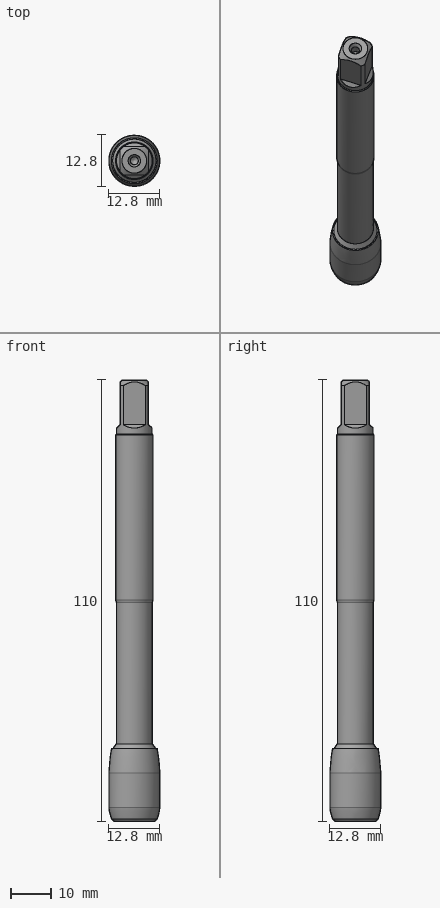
import cadquery as cq
import math

total_length = 110.0

head_radius = 12.8 / 2
head_top_z = 18.2
head_top_radius = 5.7
barrel_top_z = 12.1
barrel_bottom_z = 3.5
nose_z = 0.7
nose_radius = 5.7
nose_chamfer = 0.7
upper_bulge = 0.1
lower_bulge = 0.1

foot_radius = 5.4
neck_radius = 9.0 / 2
foot_top_z = 19.4
grip_radius = 9.4 / 2
grip_bottom_z = 55.2
grip_top_z = 96.2
neck_chamfer_height = 0.7
end_chamfer_height = 0.3
end_radius = 8.9 / 2

square_width = 7.0
square_bottom_z = 98.9
runout_slope = 0.9
tip_radius = 3.1

center_hole_radius = 2.0 / 2
center_hole_depth = 3.3
countersink_radius = 1.5
countersink_angle = 60
drill_point_angle = 118
countersink_depth = (countersink_radius - center_hole_radius) / math.tan(math.radians(countersink_angle / 2))
drill_point_height = center_hole_radius / math.tan(math.radians(drill_point_angle / 2))


def middle_of_bulge(start, end, bulge):
    """Midpoint of a line between two profile points, moved outward by the bulge."""
    return ((start[0] + end[0]) / 2 + bulge, (start[1] + end[1]) / 2)


def make_head():
    """Solid of revolution with gently bowed tapers above and below the barrel."""
    nose = (nose_radius, nose_z)
    barrel_bottom = (head_radius, barrel_bottom_z)
    barrel_top = (head_radius, barrel_top_z)
    top_rim = (head_top_radius, head_top_z)
    return (
        cq.Workplane("XZ")
        .moveTo(0, 0)
        .lineTo(nose_radius - nose_chamfer, 0)
        .lineTo(*nose)
        .threePointArc(middle_of_bulge(nose, barrel_bottom, lower_bulge), barrel_bottom)
        .lineTo(*barrel_top)
        .threePointArc(middle_of_bulge(barrel_top, top_rim, upper_bulge), top_rim)
        .lineTo(0, head_top_z)
        .close()
        .revolve(360, (0, 0, 0), (0, 1, 0))
    )


def make_shaft_blank():
    """Round shaft, with a 45 degree cone at its tip, before the square is cut."""
    tip_cone_height = end_radius - tip_radius
    profile = [
        (0, head_top_z),
        (foot_radius, head_top_z),
        (neck_radius, foot_top_z),
        (neck_radius, grip_bottom_z - neck_chamfer_height),
        (grip_radius, grip_bottom_z),
        (grip_radius, grip_top_z),
        (end_radius, grip_top_z + end_chamfer_height),
        (end_radius, total_length - tip_cone_height),
        (tip_radius, total_length),
        (0, total_length),
    ]
    return cq.Workplane("XZ").polyline(profile).close().revolve(360, (0, 0, 0), (0, 1, 0))


def make_flat_cutter():
    """Cutter for one drive flat on the +X side, with a sloping run-out below."""
    flat_x = square_width / 2
    outer_x = 2 * end_radius
    profile = [
        (flat_x, square_bottom_z),
        (outer_x, square_bottom_z - runout_slope * (outer_x - flat_x)),
        (outer_x, total_length),
        (flat_x, total_length),
    ]
    return cq.Workplane("XZ").polyline(profile).close().extrude(outer_x, both=True)


def make_center_hole():
    """Countersunk blind hole with a conical drill point."""
    floor_z = total_length - center_hole_depth
    profile = [
        (0, floor_z - drill_point_height),
        (center_hole_radius, floor_z),
        (center_hole_radius, total_length - countersink_depth),
        (countersink_radius, total_length),
        (0, total_length),
    ]
    return cq.Workplane("XZ").polyline(profile).close().revolve(360, (0, 0, 0), (0, 1, 0))


def make_shaft():
    """Shaft with its four drive flats and center hole."""
    shaft = make_shaft_blank()
    flat_cutter = make_flat_cutter()
    for angle in (0, 90, 180, 270):
        shaft = shaft.cut(flat_cutter.rotate((0, 0, 0), (0, 0, 1), angle))
    return shaft.cut(make_center_hole())


head = make_head()
shaft = make_shaft()

result = cq.Compound.makeCompound([head.val(), shaft.val()])